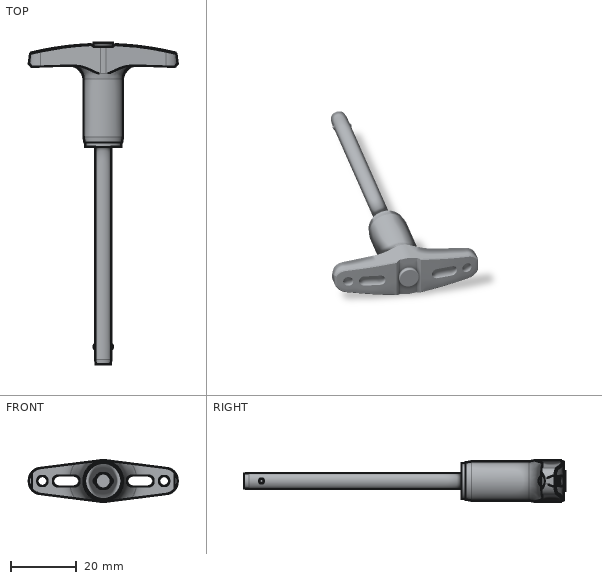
import cadquery as cq
import math

LENGTH = 97.6
GRIP_SPAN = 45.2
GRIP_THICKNESS = 12.7

HUB_RADIUS = GRIP_THICKNESS / 2
END_RADIUS = 4.0
END_CENTRE = GRIP_SPAN / 2 - END_RADIUS

BACK_CENTRE_Y = -0.4
BACK_END_X = 22.2
BACK_END_Y = -3.1
TIP_Y = -6.3
FRONT_END_X = 21.7
FRONT_END_Y = -7.4
FRONT_CENTRE_Y = -6.9
BACK_EDGE_CHAMFER = 0.3

SLEEVE_DIAMETER = 12.0
SLEEVE_FILLET = 4.1
TAPER_START_Y = -28.6
TAPER_END_Y = -30.4
TAPER_END_DIAMETER = 11.4
RING_DIAMETER = 11.0
RING_END_Y = -31.6

PIN_DIAMETER = 5.0
NOSE_LENGTH = 1.6
NOSE_DIAMETER = 4.6
BALL_RADIUS = 0.8
BALL_REACH = 2.9
BALL_FROM_TIP = 5.4

GROOVE_FLOOR_Y = -1.4
GROOVE_FLOOR_WIDTH = 5.3
GROOVE_FLARE = 1.3
BUTTON_DIAMETER = 6.1
BUTTON_ROUNDING = 0.2

HOLE_DIAMETER = 3.0
HOLE_X = 18.4
SLOT_WIDTH = 3.2
SLOT_LENGTH = 8.0
SLOT_X = 11.2


def along_y(start_y, end_y, diameter):
    """Round bar on the pin axis between two Y stations."""
    plane = cq.Workplane("XZ", origin=(0, start_y, 0))
    return plane.circle(diameter / 2).extrude(start_y - end_y)


def cone_y(start_y, end_y, start_diameter, end_diameter):
    """Tapered round bar on the pin axis between two Y stations."""
    outline = [
        (0, start_y),
        (start_diameter / 2, start_y),
        (end_diameter / 2, end_y),
        (0, end_y),
    ]
    return cq.Workplane("XY").polyline(outline).close().revolve(360, (0, 0), (0, 1))


def outline_prism():
    """Grip outline swept along the whole pin."""
    lean = (HUB_RADIUS - END_RADIUS) / END_CENTRE
    rise = math.sqrt(1 - lean**2)
    hub_x = HUB_RADIUS * lean
    hub_z = HUB_RADIUS * rise
    end_x = END_CENTRE + END_RADIUS * lean
    end_z = END_RADIUS * rise
    return (
        cq.Workplane("XZ")
        .moveTo(-hub_x, hub_z)
        .threePointArc((0, HUB_RADIUS), (hub_x, hub_z))
        .lineTo(end_x, end_z)
        .threePointArc((GRIP_SPAN / 2, 0), (end_x, -end_z))
        .lineTo(hub_x, -hub_z)
        .threePointArc((0, -HUB_RADIUS), (-hub_x, -hub_z))
        .lineTo(-end_x, -end_z)
        .threePointArc((-GRIP_SPAN / 2, 0), (-end_x, end_z))
        .close()
        .extrude(LENGTH)
    )


def grip_slab():
    """Grip profile with crowned back and bevelled ends, wider than the grip itself."""
    return (
        cq.Workplane("XY")
        .moveTo(-BACK_END_X, BACK_END_Y)
        .threePointArc((0, BACK_CENTRE_Y), (BACK_END_X, BACK_END_Y))
        .lineTo(GRIP_SPAN / 2, TIP_Y)
        .lineTo(FRONT_END_X, FRONT_END_Y)
        .threePointArc((0, FRONT_CENTRE_Y), (-FRONT_END_X, FRONT_END_Y))
        .lineTo(-GRIP_SPAN / 2, TIP_Y)
        .close()
        .extrude(2 * GRIP_THICKNESS, both=True)
    )


def grip_and_sleeve():
    """Grip blended into the sleeve, trimmed to the outline and chamfered round the back."""
    sleeve = along_y(TIP_Y, TAPER_START_Y, SLEEVE_DIAMETER)
    body = grip_slab().union(sleeve)
    root = cq.selectors.BoxSelector(
        (-SLEEVE_DIAMETER, FRONT_END_Y, -SLEEVE_DIAMETER),
        (SLEEVE_DIAMETER, TIP_Y, SLEEVE_DIAMETER),
        boundingbox=True,
    )
    body = body.edges(root).fillet(SLEEVE_FILLET)
    body = body.intersect(outline_prism())
    back = cq.selectors.NearestToPointSelector((0, BACK_CENTRE_Y, 0))
    return body.faces(back).chamfer(BACK_EDGE_CHAMFER)


def cross_groove():
    """Flat-bottomed groove with sloping walls, running across the grip along Z."""
    half_floor = GROOVE_FLOOR_WIDTH / 2
    half_top = half_floor - GROOVE_FLARE * GROOVE_FLOOR_Y
    outline = [
        (-half_floor, GROOVE_FLOOR_Y),
        (half_floor, GROOVE_FLOOR_Y),
        (half_top, 0),
        (-half_top, 0),
    ]
    return cq.Workplane("XY").polyline(outline).close().extrude(GRIP_THICKNESS, both=True)


def grip_openings():
    """A round hole and a slot through each arm of the grip."""
    holes = cq.Workplane("XZ").pushPoints([(-HOLE_X, 0), (HOLE_X, 0)]).circle(HOLE_DIAMETER / 2)
    slots = cq.Workplane("XZ").pushPoints([(-SLOT_X, 0), (SLOT_X, 0)]).slot2D(SLOT_LENGTH, SLOT_WIDTH)
    return holes.extrude(LENGTH).union(slots.extrude(LENGTH))


def push_button():
    """Release button standing in the groove, with a rounded rim."""
    return along_y(0, TIP_Y, BUTTON_DIAMETER).faces(">Y").edges().fillet(BUTTON_ROUNDING)


def locking_pin():
    """Pin with its tapered nose and a ball bulging out on either side."""
    nose_y = NOSE_LENGTH - LENGTH
    pin = along_y(TIP_Y, nose_y, PIN_DIAMETER)
    pin = pin.union(cone_y(nose_y, -LENGTH, PIN_DIAMETER, NOSE_DIAMETER))
    for side in (-1, 1):
        centre = (side * (BALL_REACH - BALL_RADIUS), BALL_FROM_TIP - LENGTH, 0)
        pin = pin.union(cq.Workplane("XY").sphere(BALL_RADIUS).translate(centre))
    return pin


result = (
    grip_and_sleeve()
    .cut(cross_groove())
    .cut(grip_openings())
    .union(push_button())
    .union(cone_y(TAPER_START_Y, TAPER_END_Y, SLEEVE_DIAMETER, TAPER_END_DIAMETER))
    .union(along_y(TAPER_END_Y, RING_END_Y, RING_DIAMETER))
    .union(locking_pin())
)